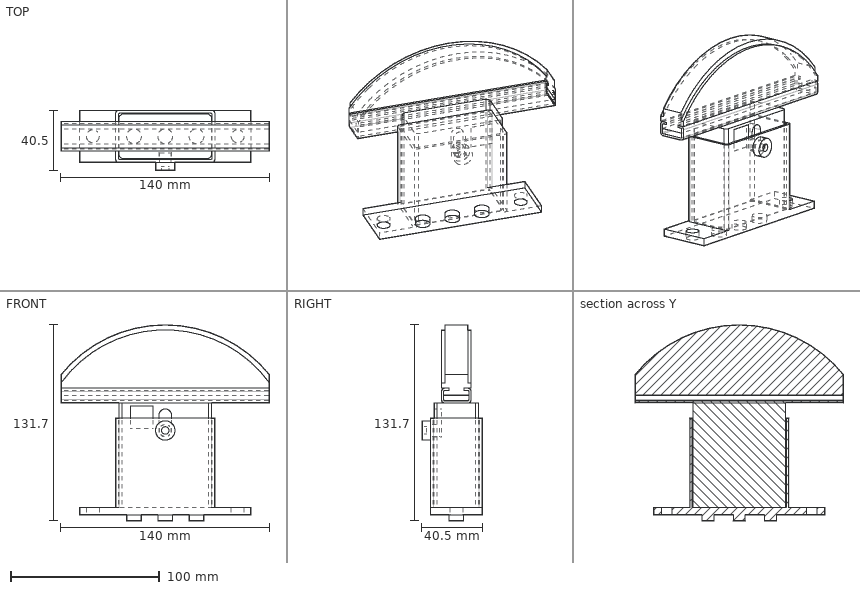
import cadquery as cq
import math


stud_diameter = 10.0
stud_height = 4.0
stud_spacing = 21.0
stud_count = 3

base_length = 115.0
base_thickness = 5.0
mount_hole_diameter = 8.7
mount_hole_edge_distance = 8.8
housing_length = 66.8
housing_depth = 35.0
housing_height = 65.0
housing_corner_radius = 2.2
wall = 2.0
base_z = stud_height
floor_z = base_z + base_thickness
housing_top_z = base_z + housing_height
cavity_length = housing_length - 2 * wall
cavity_depth = housing_depth - 2 * wall
cavity_corner_radius = 1.0

block_length = 62.3
block_depth = 30.0
block_chamfer = 2.0
travel = 10.2
block_top_z = housing_top_z + travel
block_front_y = -block_depth / 2

label_width = 15.1
label_height = 15.1
label_recess_depth = 0.1
label_center_x = -15.7
label_top_gap = 2.0

slot_width = 8.5
slot_depth = 5.2

screw_z = 60.8
screw_head_diameter = 13.0
screw_head_height = 5.5
screw_shank_diameter = 8.0
screw_end_clearance = 1.4
socket_diameter = 5.0
socket_depth = 2.8
housing_front_y = -housing_depth / 2

shoe_length = 140.0
rail_width = 20.0
rail_height = 10.0
rail_wall = 1.5
rail_outer_radius = 2.2
rail_inner_radius = rail_outer_radius - rail_wall
rail_opening = 10.1
rail_base_z = block_top_z
rail_top_z = rail_base_z + rail_height
rail_inner_width = rail_width - 2 * rail_wall
lip_bottom_z = rail_top_z - rail_wall

foot_height = 3.4
shoulder_radius = 86.7
crown_radius = 90.0
crown_width = 15.4
overall_height = 131.7
arc_center_z = overall_height - crown_radius


def box_on(length, depth, bottom_z, top_z):
    """Box centred on X and Y between two heights."""
    base_plane = cq.Workplane("XY", origin=(0, 0, bottom_z))
    return base_plane.rect(length, depth).extrude(top_z - bottom_z)


def cylinder_along_y(diameter, z, start_y, end_y):
    """Cylinder along Y at X = 0, between two Y positions."""
    plane = cq.Workplane(cq.Plane(origin=(0, start_y, z), xDir=(1, 0, 0), normal=(0, 1, 0)))
    return plane.circle(diameter / 2).extrude(end_y - start_y)


def make_housing():
    base = box_on(base_length, housing_depth, base_z, floor_z)
    hole_spacing = base_length - 2 * mount_hole_edge_distance
    base = base.faces(">Z").workplane().rarray(hole_spacing, 1.4, 2, 1).hole(mount_hole_diameter)

    box = box_on(housing_length, housing_depth, floor_z, housing_top_z)
    box = box.edges("|Z").fillet(housing_corner_radius)
    cavity = box_on(cavity_length, cavity_depth, floor_z, housing_top_z)
    cavity = cavity.edges("|Z").fillet(cavity_corner_radius)

    studs = cq.Workplane("XY").rarray(stud_spacing, 1.4, stud_count, 1)
    studs = studs.circle(stud_diameter / 2).extrude(stud_height)

    screw_hole = cylinder_along_y(screw_shank_diameter, screw_z, housing_front_y, housing_front_y + wall)
    return base.union(box.cut(cavity)).union(studs).cut(screw_hole)


def make_block():
    block = box_on(block_length, block_depth, floor_z, block_top_z)
    block = block.edges("|Z").chamfer(block_chamfer)

    recess_top_z = block_top_z - label_top_gap
    label_recess = box_on(label_width, label_recess_depth, recess_top_z - label_height, recess_top_z)
    label_recess = label_recess.translate((label_center_x, block_front_y + label_recess_depth / 2, 0))

    slot = (
        cq.Workplane("XZ", origin=(0, block_front_y, screw_z + travel / 2))
        .slot2D(travel + slot_width, slot_width, 90)
        .extrude(-slot_depth)
    )
    return block.cut(label_recess).cut(slot)


def make_screw():
    head_front_y = housing_front_y - screw_head_height
    shank_end_y = block_front_y + slot_depth - screw_end_clearance
    head = cylinder_along_y(screw_head_diameter, screw_z, head_front_y, housing_front_y)
    shank = cylinder_along_y(screw_shank_diameter, screw_z, housing_front_y, shank_end_y)
    socket = cylinder_along_y(socket_diameter, screw_z, head_front_y, head_front_y + socket_depth)
    return head.union(shank).cut(socket)


def make_rail():
    rail = box_on(shoe_length, rail_width, rail_base_z, rail_top_z).edges("|X").fillet(rail_outer_radius)
    channel = box_on(shoe_length, rail_inner_width, rail_base_z + rail_wall, lip_bottom_z)
    channel = channel.edges("|X").fillet(rail_inner_radius)
    opening = box_on(shoe_length, rail_opening, lip_bottom_z, rail_top_z)
    return rail.cut(channel).cut(opening)


def segment_plate(radius, width):
    """Plate across Y, with a flat underside on the rail, upright ends and an arched top."""
    half_length = shoe_length / 2
    end_z = arc_center_z + math.sqrt(radius**2 - half_length**2)
    return (
        cq.Workplane("XZ")
        .moveTo(-half_length, rail_top_z)
        .lineTo(-half_length, end_z)
        .threePointArc((0, arc_center_z + radius), (half_length, end_z))
        .lineTo(half_length, rail_top_z)
        .close()
        .extrude(width / 2, both=True)
    )


def make_shoe():
    shoulders = segment_plate(shoulder_radius, rail_width)
    crown = segment_plate(crown_radius, crown_width)
    neck = box_on(shoe_length, rail_opening, lip_bottom_z, rail_top_z)
    foot = box_on(shoe_length, rail_inner_width, lip_bottom_z - foot_height, lip_bottom_z)
    foot = foot.edges("|X and >Z").fillet(rail_inner_radius)
    return shoulders.union(crown).union(neck).union(foot)


housing = make_housing()
block = make_block()
screw = make_screw()
rail = make_rail()
shoe = make_shoe()

result = cq.Compound.makeCompound([housing.val(), block.val(), screw.val(), rail.val(), shoe.val()])